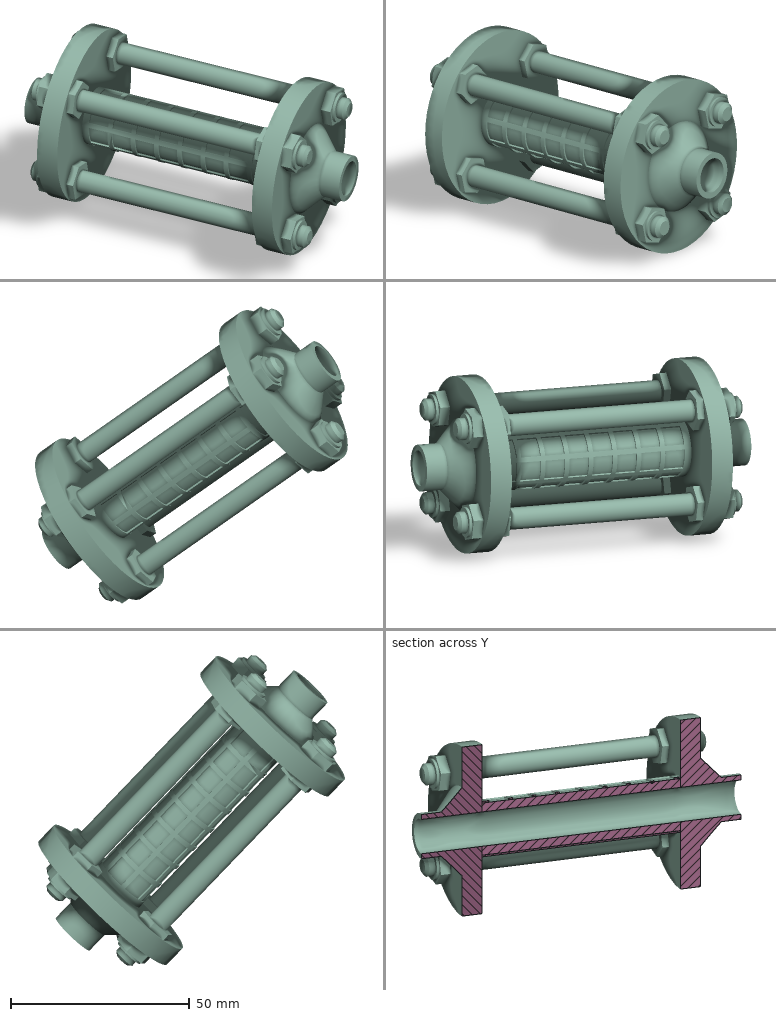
import cadquery as cq
import math


LENGTH = 97.0
BORE_RADIUS = 5.0

FLANGE_RADIUS = 24.98
FLANGE_THICKNESS = 6.2
FLANGE_INNER_X = 30.0
HUB_RADIUS = 13.0
HUB_LENGTH = 6.2
PIPE_RADIUS = 6.6

BOLT_CIRCLE_RADIUS = 19.0
ROD_COUNT = 4
ROD_RADIUS = 3.1
ROD_LENGTH = 85.2
ROD_CHAMFER_LENGTH = 0.9
ROD_CHAMFER_DEPTH = 1.1
NUT_ACROSS_FLATS = 9.7
OUTER_NUT_THICKNESS = 2.9
INNER_NUT_THICKNESS = 2.0
NUT_COLLAR_RADIUS = 4.3
NUT_COLLAR_THICKNESS = 0.8

GLASS_RADIUS = 7.8
CAGE_RADIUS = 8.2
END_RING_WIDTH = 2.0
HOOP_COUNT = 7
HOOP_WIDTH = 1.4
BAR_COUNT = 7
BAR_WIDTH = 1.5

FLANGE_OUTER_X = FLANGE_INNER_X + FLANGE_THICKNESS
HUB_END_X = FLANGE_OUTER_X + HUB_LENGTH
TUBE_LENGTH = 2 * FLANGE_INNER_X
NUT_CORNER_DIAMETER = NUT_ACROSS_FLATS / math.cos(math.radians(30))


def cylinder_x(start_x, length, radius, y=0.0, z=0.0):
    """Cylinder along X that begins at start_x."""
    return cq.Workplane("YZ", origin=(start_x, y, z)).circle(radius).extrude(length)


def tube_x(start_x, length, outer_radius, inner_radius):
    """Tube centred on the X axis that begins at start_x."""
    return cq.Workplane("YZ", origin=(start_x, 0, 0)).circle(outer_radius).circle(inner_radius).extrude(length)


def rod_angles():
    """Angles of the tie rods about the X axis, measured from +Y."""
    return [(i + 0.5) * 360 / ROD_COUNT for i in range(ROD_COUNT)]


def make_flange():
    """Flange at the +X end: plate, conical hub, weld end, bore and rod holes."""
    profile = [
        (FLANGE_INNER_X, BORE_RADIUS),
        (FLANGE_INNER_X, FLANGE_RADIUS),
        (FLANGE_OUTER_X, FLANGE_RADIUS),
        (FLANGE_OUTER_X, HUB_RADIUS),
        (HUB_END_X, PIPE_RADIUS),
        (LENGTH / 2, PIPE_RADIUS),
        (LENGTH / 2, BORE_RADIUS),
    ]
    flange = cq.Workplane("XY").polyline(profile).close().revolve(360, (0, 0, 0), (1, 0, 0))
    for angle in rod_angles():
        y = BOLT_CIRCLE_RADIUS * math.cos(math.radians(angle))
        z = BOLT_CIRCLE_RADIUS * math.sin(math.radians(angle))
        flange = flange.cut(cylinder_x(FLANGE_INNER_X, FLANGE_THICKNESS, ROD_RADIUS, y, z))
    return flange


def make_hex(start_x, thickness):
    """Hexagon along X, offset along +Y, with one corner pointing at the X axis."""
    return (
        cq.Workplane("YZ", origin=(start_x, BOLT_CIRCLE_RADIUS, 0))
        .polygon(6, NUT_CORNER_DIAMETER)
        .extrude(thickness)
    )


def make_nuts():
    """Inner nut and collared outer nut that clamp the +X flange."""
    inner_nut = make_hex(FLANGE_INNER_X - INNER_NUT_THICKNESS, INNER_NUT_THICKNESS)
    outer_nut = make_hex(FLANGE_OUTER_X, OUTER_NUT_THICKNESS)
    collar = cylinder_x(
        FLANGE_OUTER_X + OUTER_NUT_THICKNESS, NUT_COLLAR_THICKNESS, NUT_COLLAR_RADIUS, BOLT_CIRCLE_RADIUS
    )
    return inner_nut, outer_nut.union(collar)


def make_tie_rod(angle):
    """Chamfered rod with its four nuts, turned about X to the given angle."""
    rod = (
        cylinder_x(-ROD_LENGTH / 2, ROD_LENGTH, ROD_RADIUS, BOLT_CIRCLE_RADIUS)
        .faces("<X or >X")
        .edges()
        .chamfer(ROD_CHAMFER_LENGTH, ROD_CHAMFER_DEPTH)
    )
    for nut in make_nuts():
        rod = rod.union(nut).union(nut.mirror("YZ"))
    return rod.rotate((0, 0, 0), (1, 0, 0), angle)


def make_glass_tube():
    """Plain glass tube between the flanges, flush with their bores."""
    return tube_x(-FLANGE_INNER_X, TUBE_LENGTH, GLASS_RADIUS, BORE_RADIUS)


def make_window_cutter(center_x, length, angle):
    """Wedge that opens one cage window, pointing from the X axis at the given angle from +Y."""
    half_angle = math.pi / BAR_COUNT - BAR_WIDTH / CAGE_RADIUS / 2
    reach = 2 * CAGE_RADIUS
    rise = reach * math.tan(half_angle)
    return (
        cq.Workplane("YZ", origin=(center_x - length / 2, 0, 0))
        .polyline([(0, 0), (reach, -rise), (reach, rise)])
        .close()
        .extrude(length)
        .rotate((0, 0, 0), (1, 0, 0), angle)
    )


def make_cage():
    """Thin tube around the glass with windows that leave end rings, hoops and lengthwise bars."""
    cage = tube_x(-FLANGE_INNER_X, TUBE_LENGTH, CAGE_RADIUS, GLASS_RADIUS)
    column_count = HOOP_COUNT + 1
    grid_length = TUBE_LENGTH - 2 * END_RING_WIDTH
    column_pitch = (grid_length + HOOP_WIDTH) / column_count
    window_length = column_pitch - HOOP_WIDTH
    for column in range(column_count):
        center_x = (column - (column_count - 1) / 2) * column_pitch
        for i in range(BAR_COUNT):
            cage = cage.cut(make_window_cutter(center_x, window_length, 90 + i * 360 / BAR_COUNT))
    return cage


right_flange = make_flange()
left_flange = right_flange.mirror("YZ")
tie_rods = [make_tie_rod(angle) for angle in rod_angles()]
glass_tube = make_glass_tube()
cage = make_cage()

result = cq.Compound.makeCompound([
    left_flange.val(),
    right_flange.val(),
    *[rod.val() for rod in tie_rods],
    glass_tube.val(),
    cage.val(),
])